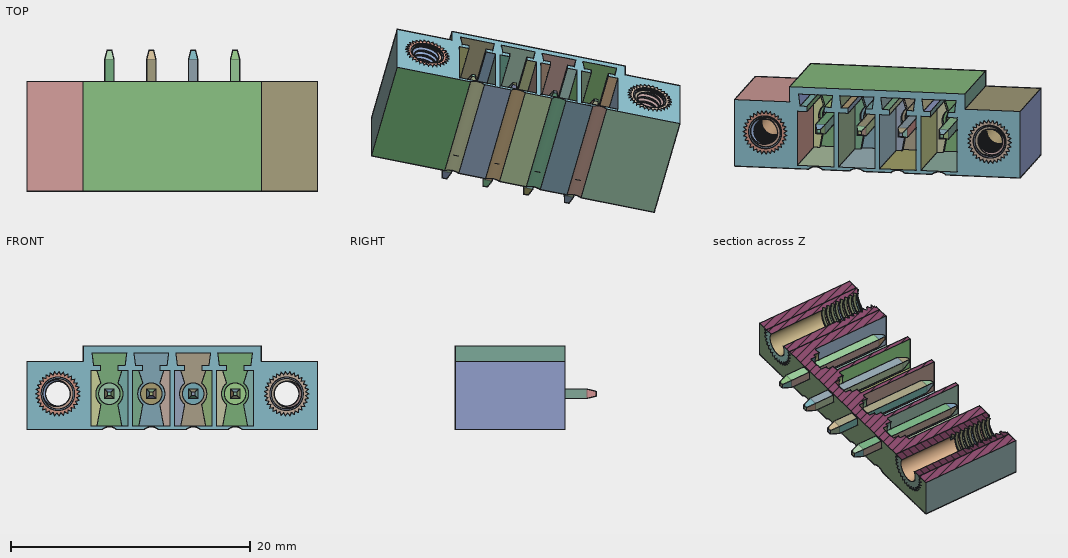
import cadquery as cq
import math


PIN_COUNT = 4
PIN_PITCH = 3.5
AXIS_Z = 3.0
PIN_XS = [(i - (PIN_COUNT - 1) / 2) * PIN_PITCH for i in range(PIN_COUNT)]

LENGTH = 24.3
DEPTH = 9.2
HEIGHT = 7.0
HOOD_LENGTH = 14.9
FLANGE_HEIGHT = 5.7

POCKET_WIDTH = 3.1
POCKET_BOTTOM = 0.3
POCKET_TOP = 4.93
POCKET_DEPTH = 7.2

LIP_TOP = 5.38
LIP_GAP = 1.46
SLOT_TOP = 6.4
SLOT_BOTTOM_WIDTH = 2.64
SLOT_TOP_WIDTH = 2.9

RECESS_DEPTH = 0.5
RECESS_END_WIDTH = 2.08
RECESS_WAIST_WIDTH = 1.4
RECESS_WAIST_OFFSET = 0.85
RECESS_EYE_DIAMETER = 2.27
COUNTERBORE_DIAMETER = 1.8
COUNTERBORE_DEPTH = 0.5

GROOVE_DIAMETER = 1.8
GROOVE_DEPTH = 0.23

PIN_SIZE = 0.8
PIN_FRONT_Y = 1.3
PIN_BACK_Y = 11.81
PIN_TAPER_LENGTH = 0.8
PIN_FRONT_TIP = 0.3
PIN_BACK_TIP = 0.4

INSERT_SPACING = 19.1
INSERT_PLACES = [(-INSERT_SPACING / 2, 0), (INSERT_SPACING / 2, 180)]
KNURL_COUNT = 31
KNURL_TIP_RADIUS = 1.86
KNURL_ROOT_RADIUS = 1.6
THREAD_MAJOR_DIAMETER = 2.5
THREAD_MINOR_DIAMETER = 2.05
THREAD_PITCH = 0.45
THREAD_ROOT_FLAT = THREAD_PITCH / 8
THREAD_LENGTH = 4.0
THREAD_PROFILE_RADIUS = 0.95
THREAD_MOUTH = 0.4
THREAD_START_ANGLE = 37
CORE_DIAMETER = 3.0
LEAD_IN_DIAMETER = 2.8
LEAD_IN_DEPTH = 0.1
RELIEF_DIAMETER = 2.54
RELIEF_DEPTH = 0.2


def facing_front(y, x=0.0):
    """Sketch plane at depth y with local axes X and Z; its normal points to -Y."""
    return cq.Workplane(cq.Plane(origin=(x, y, 0), xDir=(1, 0, 0), normal=(0, -1, 0)))


def extrude_back(sketch, depth):
    """Extrude toward +Y, into the part."""
    return sketch.extrude(-depth)


def round_bar(x, y, diameter, length):
    """Cylinder on the common axis height, from depth y toward the solder side."""
    return extrude_back(facing_front(y, x).center(0, AXIS_Z).circle(diameter / 2), length)


def mirrored_outline(right_side):
    """Closed outline from its right-hand points, listed bottom to top, mirrored about X = 0."""
    left_side = [(-x, z) for x, z in reversed(right_side)]
    return right_side + left_side


def housing_block():
    outline = mirrored_outline([
        (LENGTH / 2, 0),
        (LENGTH / 2, FLANGE_HEIGHT),
        (HOOD_LENGTH / 2, FLANGE_HEIGHT),
        (HOOD_LENGTH / 2, HEIGHT),
    ])
    return extrude_back(facing_front(0).polyline(outline).close(), DEPTH)


def plug_pocket(x):
    centre_z = (POCKET_BOTTOM + POCKET_TOP) / 2
    sketch = facing_front(0, x).center(0, centre_z).rect(POCKET_WIDTH, POCKET_TOP - POCKET_BOTTOM)
    return extrude_back(sketch, POCKET_DEPTH)


def coding_slot(x):
    outline = mirrored_outline([
        (LIP_GAP / 2, POCKET_TOP),
        (LIP_GAP / 2, LIP_TOP),
        (SLOT_BOTTOM_WIDTH / 2, LIP_TOP),
        (SLOT_TOP_WIDTH / 2, SLOT_TOP),
    ])
    sketch = facing_front(0, x).polyline(outline).close()
    return extrude_back(sketch, POCKET_DEPTH + RECESS_DEPTH)


def floor_recess(x):
    outline = mirrored_outline([
        (RECESS_END_WIDTH / 2, POCKET_BOTTOM),
        (RECESS_WAIST_WIDTH / 2, AXIS_Z - RECESS_WAIST_OFFSET),
        (RECESS_WAIST_WIDTH / 2, AXIS_Z + RECESS_WAIST_OFFSET),
        (RECESS_END_WIDTH / 2, POCKET_TOP),
    ])
    hourglass = extrude_back(facing_front(POCKET_DEPTH, x).polyline(outline).close(), RECESS_DEPTH)
    eye = round_bar(x, POCKET_DEPTH, RECESS_EYE_DIAMETER, RECESS_DEPTH)
    counterbore_length = RECESS_DEPTH + COUNTERBORE_DEPTH
    counterbore = round_bar(x, POCKET_DEPTH, COUNTERBORE_DIAMETER, counterbore_length)
    return hourglass.union(eye).union(counterbore)


def base_groove(x):
    centre_z = GROOVE_DEPTH - GROOVE_DIAMETER / 2
    return extrude_back(facing_front(0, x).center(0, centre_z).circle(GROOVE_DIAMETER / 2), DEPTH)


def square_bar(x, y, size, length):
    return extrude_back(facing_front(y, x).center(0, AXIS_Z).rect(size, size), length)


def tapered_end(x, y, direction, tip_size):
    """Pyramid frustum from the pin section at depth y to its tip, along direction * Y."""
    return (
        facing_front(y, x)
        .center(0, AXIS_Z)
        .rect(PIN_SIZE, PIN_SIZE)
        .workplane(offset=-direction * PIN_TAPER_LENGTH)
        .rect(tip_size, tip_size)
        .loft(ruled=True)
    )


def make_pin(x):
    shank_front = PIN_FRONT_Y + PIN_TAPER_LENGTH
    shank_back = PIN_BACK_Y - PIN_TAPER_LENGTH
    shank = square_bar(x, shank_front, PIN_SIZE, shank_back - shank_front)
    front_tip = tapered_end(x, shank_front, -1, PIN_FRONT_TIP)
    back_tip = tapered_end(x, shank_back, 1, PIN_BACK_TIP)
    return shank.union(front_tip).union(back_tip)


def knurled_bar():
    """Toothed bar on the Y axis, with one tooth pointing toward -X."""
    half_tooth = math.pi / KNURL_COUNT
    outline = []
    for i in range(2 * KNURL_COUNT):
        radius = KNURL_ROOT_RADIUS if i % 2 else KNURL_TIP_RADIUS
        angle = math.pi + i * half_tooth
        outline.append((radius * math.cos(angle), radius * math.sin(angle)))
    return extrude_back(facing_front(0).polyline(outline).close(), DEPTH)


def thread_groove():
    """Right-hand helical groove along +Y, starting one pitch in front of the mating face."""
    profile = [
        (THREAD_PROFILE_RADIUS, -THREAD_MOUTH / 2),
        (THREAD_MAJOR_DIAMETER / 2, -THREAD_ROOT_FLAT / 2),
        (THREAD_MAJOR_DIAMETER / 2, THREAD_ROOT_FLAT / 2),
        (THREAD_PROFILE_RADIUS, THREAD_MOUTH / 2),
    ]
    helix = cq.Wire.makeHelix(THREAD_PITCH, THREAD_LENGTH + THREAD_PITCH, THREAD_MINOR_DIAMETER / 2)
    return (
        cq.Workplane("XZ")
        .polyline(profile)
        .close()
        .sweep(cq.Workplane(obj=helix), isFrenet=True)
        .rotate((0, 0, 0), (0, 0, 1), THREAD_START_ANGLE)
        .rotate((0, 0, 0), (1, 0, 0), -90)
        .translate((0, -THREAD_PITCH, 0))
    )


def bar_on_y_axis(diameter, length):
    return extrude_back(facing_front(0).circle(diameter / 2), length)


def threaded_core():
    """Plain sleeve on the Y axis with the bore, thread, relief and lead-in cut into it."""
    sleeve = bar_on_y_axis(CORE_DIAMETER, DEPTH).cut(bar_on_y_axis(THREAD_MINOR_DIAMETER, DEPTH))
    entry = bar_on_y_axis(RELIEF_DIAMETER, RELIEF_DEPTH).union(bar_on_y_axis(LEAD_IN_DIAMETER, LEAD_IN_DEPTH))
    return sleeve.cut(thread_groove()).cut(entry)


def make_insert():
    """Threaded insert on the Y axis: the knurl's side faces stitched to the core's opening.

    This is the union of knurl and core, without the slow intersection of teeth and helix.
    """
    knurl = knurled_bar()
    core = threaded_core()
    teeth = knurl.faces("#Y").vals()
    ends = [
        cq.Face.makeFromWires(knurl.faces(end).val().outerWire(), core.faces(end).val().innerWires())
        for end in ("<Y", ">Y")
    ]
    core_side = max(core.faces("%CYLINDER").vals(), key=lambda face: face.Area())
    opening = [face for face in core.faces("not (<Y or >Y)").vals() if not face.isSame(core_side)]
    return cq.Workplane(obj=cq.Solid.makeSolid(cq.Shell.makeShell(teeth + ends + opening)))


def place_insert(shape, x, turn):
    """Move a shape from the Y axis to an insert position, turned about its own axis."""
    return shape.rotate((0, 0, 0), (0, 1, 0), turn).translate((x, 0, AXIS_Z))


def make_housing():
    body = housing_block()
    for x in PIN_XS:
        body = body.cut(plug_pocket(x)).cut(coding_slot(x)).cut(floor_recess(x)).cut(base_groove(x))
        body = body.cut(square_bar(x, 0, PIN_SIZE, DEPTH))
    for x, turn in INSERT_PLACES:
        body = body.cut(place_insert(knurled_bar(), x, turn))
    return body


housing = make_housing()
pins = [make_pin(x) for x in PIN_XS]
insert = make_insert()
inserts = [place_insert(insert, x, turn) for x, turn in INSERT_PLACES]

result = cq.Compound.makeCompound(
    [housing.solids().val()]
    + [pin.solids().val() for pin in pins]
    + [placed.solids().val() for placed in inserts]
)